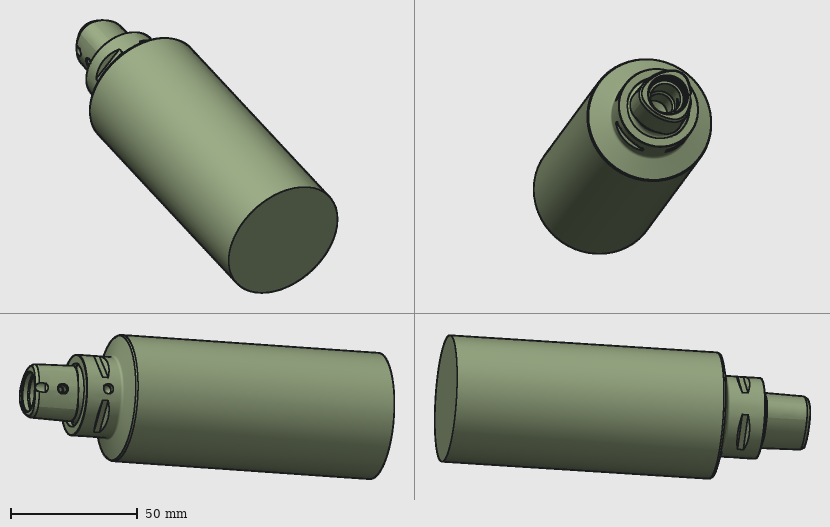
import cadquery as cq
import math

TOTAL_LENGTH = 144.0
SHANK_LENGTH = 19.0
BODY_END = TOTAL_LENGTH - SHANK_LENGTH
TIP = -SHANK_LENGTH

BODY_RADIUS = 25.0
BODY_START = 18.2
BODY_CHAMFER_LENGTH = 0.8
BODY_CHAMFER_HEIGHT = 0.4
FLANGE_RADIUS = 16.0
FLANGE_CHAMFER = 0.2
CORNER_FILLET = 1.1
CONE_ANGLE = 16.0

MEAN_RADIUS = 11.01
ECCENTRICITY = 0.75
LOBE_RADIUS = 7.0
LOBE_ANGLES = (0, 120, 240)
HALF_LOBE = 30.0
TAPER = 1 / 40
TIP_CHAMFER_LENGTH = 1.4
TIP_CHAMFER_HEIGHT = 0.8
FLANK_END = -1.6
SHOULDER_END = -1.1
SHOULDER_INSET = 0.6

NECK_RADIUS = 10.45
RECESS_RADIUS = 12.5

MOUTH_RADIUS = 8.1
MOUTH_CHAMFER = 0.4
ENTRY_END = -16.5
BORE_RADIUS = 7.2
BORE_END = -14.0
STEP_RADIUS = 6.0
STEP_END = -3.0
DRILL_RADIUS = 5.1
DRILL_END = 8.0
DRILL_POINT_HALF_ANGLE = 59.0

CUT_CLEARANCE = 0.5

SLOT_X = 7.95
SLOT_FLOOR_RADIUS = 14.1
SLOT_FLOOR_WIDTH = 2.3
SLOT_WALL_ANGLE = 32.0
SLOT_ANGLES = (45, 135, 225, 315)

FLANGE_HOLE_X = 9.0
FLANGE_HOLE_RADIUS = 2.0
FLANGE_HOLE_DEPTH = 3.0
SHANK_HOLE_X = -8.0
SHANK_HOLE_RADIUS = 1.7
SHANK_HOLE_MOUTH_RADIUS = 2.15
NOTCH_AXIS_Y = -11.3
NOTCH_RADIUS = 2.4
NOTCH_LENGTH = 4.0


def revolve_about_x(points):
    """Turn an (X, radius) outline around the X axis."""
    return cq.Workplane("XY").polyline(points).close().revolve(360, (0, 0, 0), (1, 0, 0))


def make_body():
    cone_lean = math.radians(CONE_ANGLE)
    half_turn = (math.pi / 2 - cone_lean) / 2
    cone_top = BODY_RADIUS - BODY_CHAMFER_HEIGHT
    cone_end = BODY_START - BODY_CHAMFER_LENGTH
    fillet_centre_radius = FLANGE_RADIUS + CORNER_FILLET
    fillet_top = fillet_centre_radius - CORNER_FILLET * math.sin(cone_lean)
    fillet_end = cone_end - (cone_top - fillet_top) * math.tan(cone_lean)
    fillet_start = fillet_end - CORNER_FILLET * math.cos(cone_lean)
    fillet_middle = (
        fillet_start + CORNER_FILLET * math.sin(half_turn),
        fillet_centre_radius - CORNER_FILLET * math.cos(half_turn),
    )
    return (
        cq.Workplane("XY")
        .moveTo(0, 0)
        .lineTo(0, FLANGE_RADIUS - FLANGE_CHAMFER)
        .lineTo(FLANGE_CHAMFER, FLANGE_RADIUS)
        .lineTo(fillet_start, FLANGE_RADIUS)
        .threePointArc(fillet_middle, (fillet_end, fillet_top))
        .lineTo(cone_end, cone_top)
        .lineTo(BODY_START, BODY_RADIUS)
        .lineTo(BODY_END, BODY_RADIUS)
        .lineTo(BODY_END, 0)
        .close()
        .revolve(360, (0, 0, 0), (1, 0, 0))
    )


def lobe_point(lobe_angle, normal_angle, inset):
    """Point on a lobe arc, as (Y, Z), where the outward normal has the given angle from +Y."""
    centre_distance = MEAN_RADIUS + ECCENTRICITY - LOBE_RADIUS
    radius = LOBE_RADIUS - inset
    lobe = math.radians(lobe_angle)
    normal = math.radians(normal_angle)
    return (
        centre_distance * math.cos(lobe) + radius * math.cos(normal),
        centre_distance * math.sin(lobe) + radius * math.sin(normal),
    )


def shank_outline(workplane, inset):
    """Constant-width outline: three lobe arcs joined tangentially by three flatter arcs."""
    flat_distance = MEAN_RADIUS - ECCENTRICITY - inset
    outline = workplane.moveTo(*lobe_point(0, -HALF_LOBE, inset))
    for angle in LOBE_ANGLES:
        outline = outline.threePointArc(
            lobe_point(angle, angle, inset),
            lobe_point(angle, angle + HALF_LOBE, inset),
        )
        flat = math.radians(angle + 2 * HALF_LOBE)
        next_lobe = angle + 4 * HALF_LOBE
        outline = outline.threePointArc(
            (flat_distance * math.cos(flat), flat_distance * math.sin(flat)),
            lobe_point(next_lobe, next_lobe - HALF_LOBE, inset),
        )
    return outline.close()


def shank_section(start, start_inset, end, end_inset):
    first = shank_outline(cq.Workplane("YZ", origin=(start, 0, 0)), start_inset)
    return shank_outline(first.workplane(offset=end - start), end_inset).loft(ruled=True)


def make_shank():
    chamfer_end = TIP + TIP_CHAMFER_LENGTH
    chamfer_inset = -chamfer_end * TAPER
    flank_inset = -FLANK_END * TAPER
    tip = shank_section(TIP, chamfer_inset + TIP_CHAMFER_HEIGHT, chamfer_end, chamfer_inset)
    flank = shank_section(chamfer_end, chamfer_inset, FLANK_END, flank_inset)
    shoulder = shank_section(FLANK_END, flank_inset, SHOULDER_END, SHOULDER_INSET)
    return tip.union(flank).union(shoulder)


def make_recess():
    """Annular recess whose inner corner is a full fillet from the neck to the recess floor."""
    fillet = RECESS_RADIUS - NECK_RADIUS
    arc_offset = fillet * math.sqrt(0.5)
    return (
        cq.Workplane("XY")
        .moveTo(0, NECK_RADIUS)
        .threePointArc((arc_offset, RECESS_RADIUS - arc_offset), (fillet, RECESS_RADIUS))
        .lineTo(0, RECESS_RADIUS)
        .close()
        .revolve(360, (0, 0, 0), (1, 0, 0))
    )


def make_neck():
    return cq.Workplane("YZ", origin=(FLANK_END, 0, 0)).circle(NECK_RADIUS).extrude(-FLANK_END)


def make_bore():
    entry_radius = MOUTH_RADIUS - MOUTH_CHAMFER
    return revolve_about_x([
        (TIP, 0),
        (TIP, MOUTH_RADIUS),
        (TIP + MOUTH_CHAMFER, entry_radius),
        (ENTRY_END, entry_radius),
        (ENTRY_END + entry_radius - BORE_RADIUS, BORE_RADIUS),
        (BORE_END, BORE_RADIUS),
        (BORE_END, STEP_RADIUS),
        (STEP_END, STEP_RADIUS),
        (STEP_END + STEP_RADIUS - DRILL_RADIUS, DRILL_RADIUS),
        (DRILL_END, DRILL_RADIUS),
        (DRILL_END + DRILL_RADIUS / math.tan(math.radians(DRILL_POINT_HALF_ANGLE)), 0),
    ])


def make_gripper_slot(angle):
    half_floor = SLOT_FLOOR_WIDTH / 2
    top = FLANGE_RADIUS + CUT_CLEARANCE
    half_top = half_floor + (top - SLOT_FLOOR_RADIUS) * math.tan(math.radians(SLOT_WALL_ANGLE))
    return (
        cq.Workplane("XZ")
        .polyline([
            (SLOT_X - half_floor, SLOT_FLOOR_RADIUS),
            (SLOT_X + half_floor, SLOT_FLOOR_RADIUS),
            (SLOT_X + half_top, top),
            (SLOT_X - half_top, top),
        ])
        .close()
        .extrude(FLANGE_RADIUS, both=True)
        .rotate((0, 0, 0), (1, 0, 0), angle)
    )


def drill(start, direction, radius, depth):
    """Cylinder ending in a right-angled conical point."""
    start_point = cq.Vector(*start)
    axis = cq.Vector(*direction)
    cylinder = cq.Solid.makeCylinder(radius, depth, start_point, axis)
    point = cq.Solid.makeCone(radius, 0, radius, start_point + axis * depth, axis)
    return cq.Workplane(cylinder.fuse(point))


def make_flange_hole():
    start = (FLANGE_HOLE_X, -FLANGE_RADIUS, 0)
    return drill(start, (0, 1, 0), FLANGE_HOLE_RADIUS, FLANGE_HOLE_DEPTH)


def make_shank_hole():
    """Radial hole into the bore with a 45 degree countersink on the tapered flat."""
    flat_y = -(MEAN_RADIUS - ECCENTRICITY + SHANK_HOLE_X * TAPER)
    inward = cq.Vector(0, 1, 0)
    start = cq.Vector(SHANK_HOLE_X, flat_y - CUT_CLEARANCE, 0)
    cone_radius = SHANK_HOLE_MOUTH_RADIUS + CUT_CLEARANCE
    countersink = cq.Solid.makeCone(
        cone_radius, SHANK_HOLE_RADIUS, cone_radius - SHANK_HOLE_RADIUS, start, inward
    )
    hole = cq.Solid.makeCylinder(SHANK_HOLE_RADIUS, MEAN_RADIUS, start, inward)
    return cq.Workplane(hole.fuse(countersink))


def make_notch():
    return drill((TIP, NOTCH_AXIS_Y, 0), (1, 0, 0), NOTCH_RADIUS, NOTCH_LENGTH)


result = make_body().cut(make_recess()).union(make_neck()).union(make_shank())
result = result.cut(make_bore())
for slot_angle in SLOT_ANGLES:
    result = result.cut(make_gripper_slot(slot_angle))
result = result.cut(make_flange_hole()).cut(make_shank_hole()).cut(make_notch())